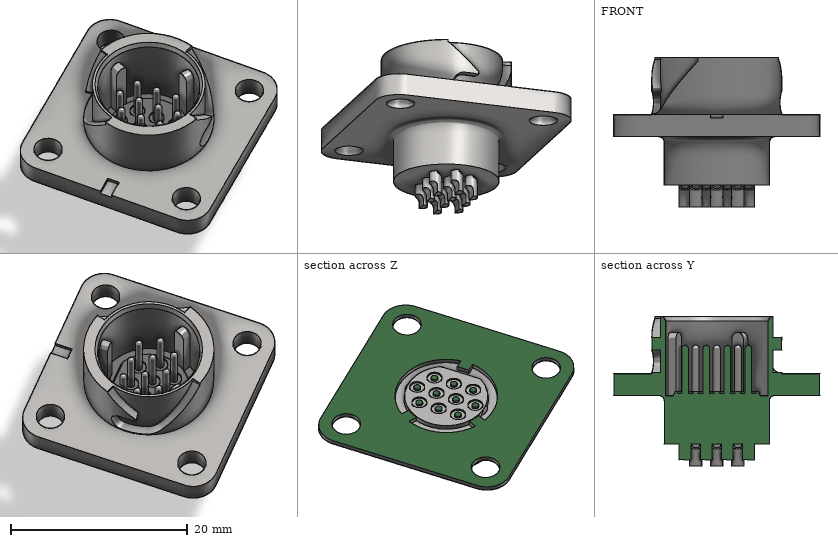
import cadquery as cq
import math

FLANGE_SIDE = 23.4
FLANGE_THICKNESS = 2.5
FLANGE_CORNER_RADIUS = 2.8
MOUNT_HOLE_DIAMETER = 3.2
MOUNT_HOLE_PITCH = 17.25
INDEX_NOTCH_WIDTH = 1.4
INDEX_NOTCH_LENGTH = 2.05
INDEX_NOTCH_DEPTH = 0.4

COLLAR_RADIUS = 7.4
COLLAR_HEIGHT = 6.5
BORE_RADIUS = 5.8
BORE_FLOOR_Z = -FLANGE_THICKNESS
BORE_CHAMFER_WIDTH = 0.3
BORE_CHAMFER_HEIGHT = 0.5
REAR_BODY_RADIUS = 6.0
REAR_BODY_LENGTH = 5.5
REAR_BODY_FILLET = 0.6
REAR_FACE_Z = -FLANGE_THICKNESS - REAR_BODY_LENGTH

SLOT_FLOOR_RADIUS = 6.4
SLOT_BOTTOM_Z = 0.15
ENTRY_RAMP_SLOPE = 45.0
ARC_PER_DEGREE = COLLAR_RADIUS * math.radians(1)
LOCK_RAMP_AZIMUTH = 18.1
LOCK_RAMP_TOP_Z = 6.3
HOOK_TOP_Z = 2.67
HOOK_RADIUS = (HOOK_TOP_Z - SLOT_BOTTOM_Z) / 2
HOOK_CENTER_AZIMUTH = 3.8
HOOK_TIP_AZIMUTH = -10.4
HOOK_TIP_Z = 2.95
HOOK_CORNER_AZIMUTH = -10.0
ENTRY_RAMP_AZIMUTH = -73.2
ENTRY_RAMP_TOP_Z = 6.1
ENTRY_BLEND_RADIUS = 2.6
SLOT_MID_AZIMUTH = -28.0
SLOT_REPEAT_ANGLE = 180.0

KEY_ANGLES = (60.0, 155.0, 270.0)
KEY_WIDTH = 1.5
KEY_INNER_RADIUS = 4.75
KEY_TOP_Z = 4.7

INSERT_HEIGHT = 0.5
INSERT_TOP_Z = BORE_FLOOR_Z + INSERT_HEIGHT
INSERT_TOP_RADIUS = 4.72
INSERT_DRAFT = 0.08
INSERT_TOP_FLAT = 4.04
INSERT_FLAT_DRAFT = 0.25
BULGE_RADIUS = 1.38

ROW_PITCH = 2.15
CONTACT_PITCH = 2.4
OUTER_ROW_COUNT = 3
MIDDLE_ROW_COUNT = 4
CONTACT_ROWS = ((-ROW_PITCH, OUTER_ROW_COUNT), (0.0, MIDDLE_ROW_COUNT), (ROW_PITCH, OUTER_ROW_COUNT))
OUTER_CONTACT_X = CONTACT_PITCH * (MIDDLE_ROW_COUNT - 1) / 2
PIN_RADIUS = 0.4
PIN_TIP_Z = 3.25
PIN_RECESS_RADIUS = 0.85
PIN_RECESS_DEPTH = 0.2
TAIL_RADIUS = 0.7
TAIL_LENGTH = 2.5
TAIL_CUT_HEIGHT = 0.65
TAIL_CUT_RADIUS = 0.65
TAIL_STEP_DEPTH = 0.2
TAIL_SLOPE_DEPTH = 0.55
TAIL_CORE_RADIUS = 0.42

CLEARANCE = 1.0


def cylinder(radius, z_low, z_high):
    return cq.Workplane("XY").workplane(offset=z_low).circle(radius).extrude(z_high - z_low)


def make_flange():
    flange = (
        cq.Workplane("XY")
        .rect(FLANGE_SIDE, FLANGE_SIDE)
        .extrude(-FLANGE_THICKNESS)
        .edges("|Z")
        .fillet(FLANGE_CORNER_RADIUS)
    )
    holes = (
        cq.Workplane("XY")
        .rect(MOUNT_HOLE_PITCH, MOUNT_HOLE_PITCH, forConstruction=True)
        .vertices()
        .circle(MOUNT_HOLE_DIAMETER / 2)
        .extrude(-FLANGE_THICKNESS)
    )
    notch = (
        cq.Workplane("XY")
        .center(0, -FLANGE_SIDE / 2 + INDEX_NOTCH_LENGTH / 2)
        .rect(INDEX_NOTCH_WIDTH, INDEX_NOTCH_LENGTH)
        .extrude(-INDEX_NOTCH_DEPTH)
    )
    return flange.cut(holes).cut(notch)


def make_rear_body():
    """Half-section turned about Z, flaring into the flange with a concave fillet."""
    fillet_center_z = -FLANGE_THICKNESS - REAR_BODY_FILLET
    fillet_reach = REAR_BODY_FILLET * (1 - math.sqrt(0.5))
    return (
        cq.Workplane("XZ")
        .moveTo(0, REAR_FACE_Z)
        .lineTo(REAR_BODY_RADIUS, REAR_FACE_Z)
        .lineTo(REAR_BODY_RADIUS, fillet_center_z)
        .threePointArc(
            (REAR_BODY_RADIUS + fillet_reach, -FLANGE_THICKNESS - fillet_reach),
            (REAR_BODY_RADIUS + REAR_BODY_FILLET, -FLANGE_THICKNESS),
        )
        .lineTo(0, -FLANGE_THICKNESS)
        .close()
        .revolve()
    )


def make_bore():
    chamfer_z = COLLAR_HEIGHT - BORE_CHAMFER_HEIGHT
    return (
        cq.Workplane("XZ")
        .moveTo(0, BORE_FLOOR_Z)
        .lineTo(BORE_RADIUS, BORE_FLOOR_Z)
        .lineTo(BORE_RADIUS, chamfer_z)
        .lineTo(BORE_RADIUS + BORE_CHAMFER_WIDTH, COLLAR_HEIGHT)
        .lineTo(0, COLLAR_HEIGHT)
        .close()
        .revolve()
    )


def line_points(start, end, count=8):
    """Points evenly spaced on a straight line in the unrolled (azimuth, Z) plane."""
    steps = [i / count for i in range(count + 1)]
    return [(start[0] + t * (end[0] - start[0]), start[1] + t * (end[1] - start[1])) for t in steps]


def arc_points(center, radius, start_angle, end_angle, count=8):
    """Points on an arc that is round once the collar surface is unrolled."""
    angles = [math.radians(start_angle + i * (end_angle - start_angle) / count) for i in range(count + 1)]
    return [
        (center[0] + radius * math.cos(a) / ARC_PER_DEGREE, center[1] + radius * math.sin(a))
        for a in angles
    ]


def slot_outline():
    """Sides of one bayonet slot as lists of (azimuth, Z), each to be joined smoothly."""
    top_z = COLLAR_HEIGHT + CLEARANCE
    lock_top = (LOCK_RAMP_AZIMUTH, LOCK_RAMP_TOP_Z)
    hook_tip = (HOOK_TIP_AZIMUTH, HOOK_TIP_Z)
    hook_corner = (HOOK_CORNER_AZIMUTH, HOOK_TOP_Z)
    hook_center = (HOOK_CENTER_AZIMUTH, HOOK_TOP_Z - HOOK_RADIUS)
    hook_end = arc_points(hook_center, HOOK_RADIUS, 90, -90)

    entry_top = (ENTRY_RAMP_AZIMUTH, ENTRY_RAMP_TOP_Z)
    ramp_run = (ENTRY_RAMP_TOP_Z - SLOT_BOTTOM_Z) / math.tan(math.radians(ENTRY_RAMP_SLOPE))
    ramp_foot = ENTRY_RAMP_AZIMUTH + ramp_run / ARC_PER_DEGREE
    blend_tangent = ENTRY_BLEND_RADIUS * math.tan(math.radians(ENTRY_RAMP_SLOPE / 2))
    blend_center = (ramp_foot + blend_tangent / ARC_PER_DEGREE, SLOT_BOTTOM_Z + ENTRY_BLEND_RADIUS)
    entry_blend = arc_points(blend_center, ENTRY_BLEND_RADIUS, 270, 270 - ENTRY_RAMP_SLOPE)

    return [
        line_points((LOCK_RAMP_AZIMUTH, top_z), lock_top, 1),
        line_points(lock_top, hook_tip),
        line_points(hook_tip, hook_corner, 1),
        line_points(hook_corner, hook_end[0]),
        hook_end,
        line_points(hook_end[-1], entry_blend[0]),
        entry_blend,
        line_points(entry_blend[-1], entry_top),
        line_points(entry_top, (ENTRY_RAMP_AZIMUTH, top_z), 1),
        line_points((ENTRY_RAMP_AZIMUTH, top_z), (LOCK_RAMP_AZIMUTH, top_z), 1),
    ]


def slot_wire(distance):
    """Slot outline projected from the Z axis onto a plane square to the slot's middle direction."""
    edges = []
    for side in slot_outline():
        points = [
            cq.Vector(-distance, distance * math.tan(math.radians(azimuth - SLOT_MID_AZIMUTH)), z)
            for azimuth, z in side
        ]
        if len(points) == 2:
            edges.append(cq.Edge.makeLine(*points))
        else:
            edges.append(cq.Edge.makeSpline(points))
    return cq.Wire.assembleEdges(edges)


def make_slot_cutter():
    near = SLOT_FLOOR_RADIUS / 2
    far = COLLAR_RADIUS + CLEARANCE
    radial_block = cq.Workplane(cq.Solid.makeLoft([slot_wire(near), slot_wire(far)], True))
    radial_block = radial_block.rotate((0, 0, 0), (0, 0, 1), -SLOT_MID_AZIMUTH)
    return radial_block.cut(cylinder(SLOT_FLOOR_RADIUS, 0, COLLAR_HEIGHT + 2 * CLEARANCE))


def make_key(angle):
    """Round-topped key standing on the bore floor and running into the wall."""
    top_center_z = KEY_TOP_Z - KEY_WIDTH / 2
    outer_radius = (BORE_RADIUS + SLOT_FLOOR_RADIUS) / 2
    return (
        cq.Workplane("YZ")
        .workplane(offset=KEY_INNER_RADIUS)
        .moveTo(-KEY_WIDTH / 2, BORE_FLOOR_Z)
        .lineTo(-KEY_WIDTH / 2, top_center_z)
        .threePointArc((0, KEY_TOP_Z), (KEY_WIDTH / 2, top_center_z))
        .lineTo(KEY_WIDTH / 2, BORE_FLOOR_Z)
        .close()
        .extrude(outer_radius - KEY_INNER_RADIUS)
        .rotate((0, 0, 0), (0, 0, 1), angle)
    )


def d_wire(radius, flat_distance, z):
    half_flat = math.sqrt(radius**2 - flat_distance**2)
    left = cq.Vector(-half_flat, -flat_distance, z)
    right = cq.Vector(half_flat, -flat_distance, z)
    arc = cq.Edge.makeThreePointArc(right, cq.Vector(0, radius, z), left)
    return cq.Wire.assembleEdges([cq.Edge.makeLine(left, right), arc])


def make_insert():
    base = d_wire(INSERT_TOP_RADIUS + INSERT_DRAFT, INSERT_TOP_FLAT + INSERT_FLAT_DRAFT, BORE_FLOOR_Z)
    top = d_wire(INSERT_TOP_RADIUS, INSERT_TOP_FLAT, INSERT_TOP_Z)
    insert = cq.Workplane(cq.Solid.makeLoft([base, top], True))
    bulge_top_radius = INSERT_TOP_RADIUS - OUTER_CONTACT_X
    for x in (-OUTER_CONTACT_X, OUTER_CONTACT_X):
        bulge = cq.Solid.makeCone(
            BULGE_RADIUS, bulge_top_radius, INSERT_HEIGHT, pnt=cq.Vector(x, 0, BORE_FLOOR_Z)
        )
        insert = insert.union(cq.Workplane(bulge))
    return insert


def contact_positions():
    return [
        (CONTACT_PITCH * (i - (count - 1) / 2), y)
        for y, count in CONTACT_ROWS
        for i in range(count)
    ]


def make_pin():
    """Contact pin on the Z axis with a hemispherical tip, standing on the floor of its recess."""
    root_z = INSERT_TOP_Z - PIN_RECESS_DEPTH
    dome_center_z = PIN_TIP_Z - PIN_RADIUS
    dome_reach = PIN_RADIUS * math.sqrt(0.5)
    return (
        cq.Workplane("XZ")
        .moveTo(0, root_z)
        .lineTo(PIN_RADIUS, root_z)
        .lineTo(PIN_RADIUS, dome_center_z)
        .threePointArc((dome_reach, dome_center_z + dome_reach), (0, PIN_TIP_Z))
        .close()
        .revolve()
    )


def make_tail():
    """Solder tail on the Z axis: half-round below, sloped shoulder and core at its root."""
    tip_z = REAR_FACE_Z - TAIL_LENGTH
    arc_center_z = tip_z + TAIL_CUT_HEIGHT
    arc_reach = TAIL_CUT_RADIUS * math.sqrt(0.5)
    half_cut = (
        cq.Workplane("YZ")
        .moveTo(0, tip_z)
        .lineTo(0, arc_center_z)
        .threePointArc(
            (TAIL_CUT_RADIUS - arc_reach, arc_center_z + arc_reach),
            (TAIL_CUT_RADIUS, arc_center_z + TAIL_CUT_RADIUS),
        )
        .lineTo(TAIL_RADIUS + CLEARANCE, arc_center_z + TAIL_CUT_RADIUS)
        .lineTo(TAIL_RADIUS + CLEARANCE, tip_z)
        .close()
        .extrude(CLEARANCE, both=True)
    )
    root_cut = (
        cq.Workplane("YZ")
        .moveTo(0, REAR_FACE_Z)
        .lineTo(0, REAR_FACE_Z - TAIL_STEP_DEPTH)
        .lineTo(-TAIL_RADIUS, REAR_FACE_Z - TAIL_SLOPE_DEPTH)
        .lineTo(-TAIL_RADIUS, REAR_FACE_Z)
        .close()
        .extrude(CLEARANCE, both=True)
    )
    core = cylinder(TAIL_CORE_RADIUS, REAR_FACE_Z - TAIL_SLOPE_DEPTH, REAR_FACE_Z)
    return cylinder(TAIL_RADIUS, tip_z, REAR_FACE_Z).cut(half_cut).cut(root_cut).union(core)


def build():
    collar = cylinder(COLLAR_RADIUS, 0, COLLAR_HEIGHT)
    part = make_flange().union(collar).union(make_rear_body()).cut(make_bore())

    slot = make_slot_cutter()
    part = part.cut(slot)
    part = part.cut(slot.rotate((0, 0, 0), (0, 0, 1), SLOT_REPEAT_ANGLE))

    for angle in KEY_ANGLES:
        part = part.union(make_key(angle))

    part = part.union(make_insert())
    recess = cylinder(PIN_RECESS_RADIUS, INSERT_TOP_Z - PIN_RECESS_DEPTH, INSERT_TOP_Z)
    pin = make_pin()
    tail = make_tail()
    for x, y in contact_positions():
        place = (x, y, 0)
        part = part.cut(recess.translate(place))
        part = part.union(pin.translate(place))
        part = part.union(tail.translate(place))
    return part


result = build()